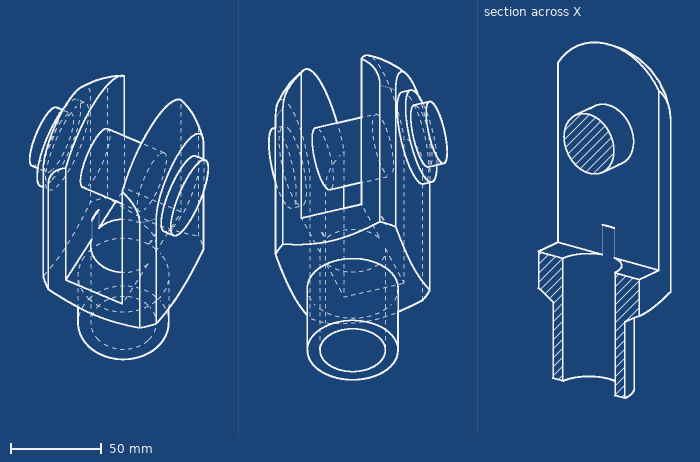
import cadquery as cq
import math

body_width = 70.0
corner_radius = 45.0
total_height = 197.5
slot_width = 35.0
slot_floor = 72.5

shank_diameter = 50.0
shank_height = 45.0
cone_angle = 30.0

bore_diameter = 36.0
bore_top = 90.0

pin_height = 144.1
pin_diameter = 35.0
pin_left_end = -49.0
washer_diameter = 52.0
washer_thickness = 5.0
head_diameter = 45.0
head_thickness = 6.0

ball_center = total_height - math.sqrt(corner_radius**2 - (slot_width / 2) ** 2)
shank_radius = shank_diameter / 2
cone_top = shank_height + (corner_radius - shank_radius) * math.tan(math.radians(cone_angle))


def turned_envelope():
    """Shank, cone, cylinder and ball end, turned about Z."""
    ball_mid = corner_radius * math.sqrt(0.5)
    return (
        cq.Workplane("XZ")
        .lineTo(shank_radius, 0)
        .lineTo(shank_radius, shank_height)
        .lineTo(corner_radius, cone_top)
        .lineTo(corner_radius, ball_center)
        .threePointArc((ball_mid, ball_center + ball_mid), (0, ball_center + corner_radius))
        .close()
        .revolve(360, (0, 0, 0), (0, 1, 0))
    )


def upright_box(width, depth, bottom):
    """Box centred on Z, from the given bottom to beyond the ball end."""
    height = ball_center + corner_radius - bottom
    return cq.Workplane("XY").workplane(offset=bottom).rect(width, depth).extrude(height)


def cross_cylinder(diameter, start, end):
    """Cylinder on the pin axis between two X positions."""
    return (
        cq.Workplane("YZ", origin=(start, 0, pin_height))
        .circle(diameter / 2)
        .extrude(end - start)
    )


def make_fork():
    square_body = upright_box(body_width, body_width, 0)
    slot = upright_box(slot_width, body_width, slot_floor)
    bore = cq.Workplane("XY").circle(bore_diameter / 2).extrude(bore_top)
    return turned_envelope().intersect(square_body).cut(slot).cut(bore)


def make_pin():
    side = body_width / 2
    shaft = cross_cylinder(pin_diameter, pin_left_end, side)
    washer = cross_cylinder(washer_diameter, -side - washer_thickness, -side)
    head = cross_cylinder(head_diameter, side, side + head_thickness)
    return shaft.union(washer).union(head)


result = make_fork().union(make_pin())